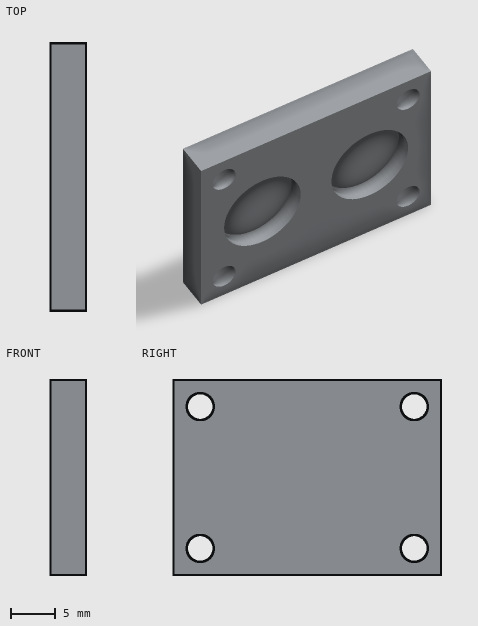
import cadquery as cq

thickness = 4.0
length = 30.0
height = 21.9

hole_diameter = 3.0
hole_inset = 3.0

pocket_diameter = 10.0
pocket_spacing = 14.0
pocket_depth = thickness / 2


def cylinders_from_front(positions, diameter, depth):
    """Cylinders starting on the -X face at (y, z) positions and running in +X."""
    return (
        cq.Workplane("YZ", origin=(-thickness / 2, 0, 0))
        .pushPoints(positions)
        .circle(diameter / 2)
        .extrude(depth)
    )


plate = cq.Workplane("XY").box(thickness, length, height)

hole_y = length / 2 - hole_inset
hole_z = height / 2 - hole_inset
hole_positions = [(y, z) for y in (-hole_y, hole_y) for z in (-hole_z, hole_z)]
holes = cylinders_from_front(hole_positions, hole_diameter, thickness)

pocket_positions = [(side * pocket_spacing / 2, 0) for side in (-1, 1)]
pockets = cylinders_from_front(pocket_positions, pocket_diameter, pocket_depth)

result = plate.cut(holes).cut(pockets)